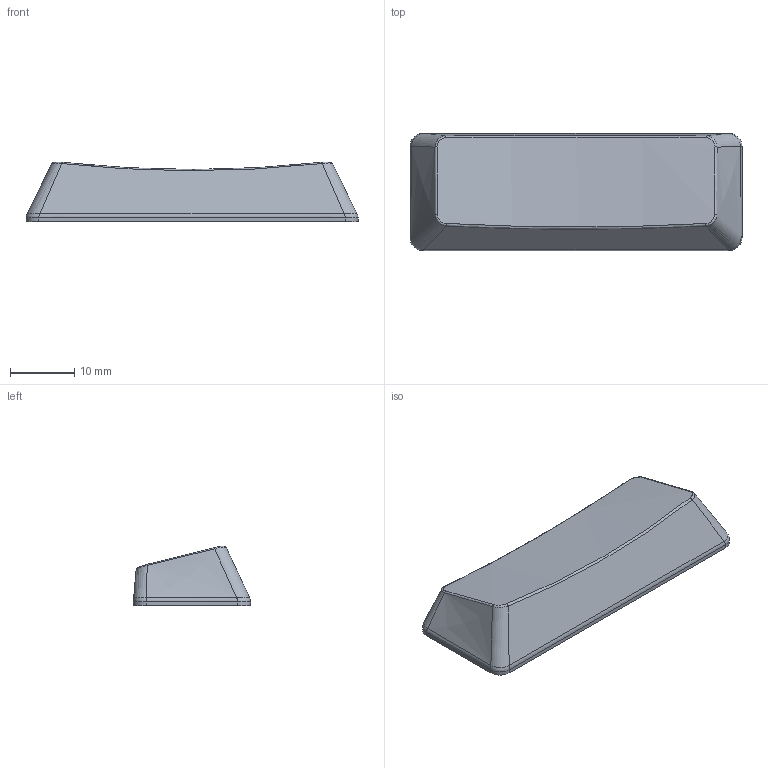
import cadquery as cq
import math

LENGTH = 51.5
WIDTH = 18.16
BASE_CORNER_RADIUS = 2.0

RIM_HEIGHT = 0.95
BEND_HEIGHT = 0.68
BEND_START = RIM_HEIGHT - BEND_HEIGHT / 2
BEND_END = RIM_HEIGHT + BEND_HEIGHT / 2

FRONT_LEAN = 25.0
BACK_LEAN = 5.0

TOP_TILT = 14.2
TOP_LENGTH = 43.5
TOP_CORNER_RADIUS = 1.7
TOP_EDGE_RADIUS = 0.35
END_EDGE_HEIGHT = 8.21
FRONT_DISH_DEPTH = 1.57
BACK_DISH_DEPTH = 0.97

BLANK_OVERSHOOT = 1.2
CUTTER_TOP = 20.0

TOP_SLOPE = math.tan(math.radians(TOP_TILT))
END_INSET = (LENGTH - TOP_LENGTH) / 2
FRONT_SLOPE = math.tan(math.radians(FRONT_LEAN))
BACK_SLOPE = math.tan(math.radians(BACK_LEAN))

WALL_FOOT_TO_DISH = END_EDGE_HEIGHT - RIM_HEIGHT
FRONT_RISE = (WALL_FOOT_TO_DISH + TOP_SLOPE * WIDTH / 2) / (1 + TOP_SLOPE * FRONT_SLOPE)
BACK_RISE = (WALL_FOOT_TO_DISH - TOP_SLOPE * WIDTH / 2) / (1 - TOP_SLOPE * BACK_SLOPE)


def rounded_outline(corners, radius, location):
    """Closed outline through four corners, each rounded."""
    return (
        cq.Sketch()
        .polygon([*corners, corners[0]])
        .vertices()
        .fillet(radius)
        .moved(location)
    )


def level_section(height):
    """Outline of the rim or bend at a height; the bend follows a parabola in height."""
    bend_rise = max(height - BEND_START, 0) ** 2 / (2 * BEND_HEIGHT)
    front_y = -WIDTH / 2 + bend_rise * FRONT_SLOPE
    back_y = WIDTH / 2 - bend_rise * BACK_SLOPE
    front_x = LENGTH / 2 - END_INSET * bend_rise / FRONT_RISE
    back_x = LENGTH / 2 - END_INSET * bend_rise / BACK_RISE
    corners = [(-front_x, front_y), (front_x, front_y), (back_x, back_y), (-back_x, back_y)]
    return rounded_outline(corners, BASE_CORNER_RADIUS, cq.Location((0, 0, height)))


def sloping_section():
    """Rectangular outline, tilted to the back, that closes the blank above the dish."""
    front_rise = FRONT_RISE * BLANK_OVERSHOOT
    back_rise = BACK_RISE * BLANK_OVERSHOOT
    front_y = -WIDTH / 2 + front_rise * FRONT_SLOPE
    back_y = WIDTH / 2 - back_rise * BACK_SLOPE
    drop = front_rise - back_rise
    run = back_y - front_y
    half_length = LENGTH / 2 - END_INSET * BLANK_OVERSHOOT
    half_width = math.hypot(run, drop) / 2
    corners = [
        (-half_length, -half_width),
        (half_length, -half_width),
        (half_length, half_width),
        (-half_length, half_width),
    ]
    centre = (0, (front_y + back_y) / 2, RIM_HEIGHT + (front_rise + back_rise) / 2)
    tilt = math.degrees(math.atan2(drop, run))
    return rounded_outline(corners, TOP_CORNER_RADIUS, cq.Location(centre, (1, 0, 0), -tilt))


def loft_through(sections, ruled):
    return cq.Workplane("XY").placeSketch(*sections).loft(ruled=ruled)


def make_blank():
    """Upright rim, smooth bend and leaning walls, before the top is cut."""
    rim = cq.Workplane("XY").placeSketch(level_section(0)).extrude(BEND_START)
    bend_heights = [BEND_START, RIM_HEIGHT, BEND_END]
    bend = loft_through([level_section(height) for height in bend_heights], ruled=False)
    walls = loft_through([level_section(BEND_END), sloping_section()], ruled=True)
    return rim.union(bend).union(walls)


def dish_section(y, depth):
    """Upright outline at one Y: a hollow arc below, passing through both end edges."""
    edge_height = END_EDGE_HEIGHT - TOP_SLOPE * y
    half_top = TOP_LENGTH / 2
    radius = (half_top**2 + depth**2) / (2 * depth)
    bottom = edge_height - depth
    reach = LENGTH / 2
    arc_end = bottom + radius - math.sqrt(radius**2 - reach**2)
    return (
        cq.Workplane("XZ", origin=(0, y, 0))
        .moveTo(-reach, CUTTER_TOP)
        .lineTo(-reach, arc_end)
        .threePointArc((0, bottom), (reach, arc_end))
        .lineTo(reach, CUTTER_TOP)
        .close()
        .val()
    )


def make_dish():
    """Cutter that hollows the top surface from the front to the back."""
    front = dish_section(-WIDTH / 2, FRONT_DISH_DEPTH)
    back = dish_section(WIDTH / 2, BACK_DISH_DEPTH)
    return cq.Workplane(cq.Solid.makeLoft([front, back], True))


def make_keycap():
    dished = make_blank().cut(make_dish())
    above_dish = (0, 0, END_EDGE_HEIGHT)
    top_face = dished.faces(cq.selectors.NearestToPointSelector(above_dish))
    return top_face.edges().fillet(TOP_EDGE_RADIUS)


result = make_keycap()